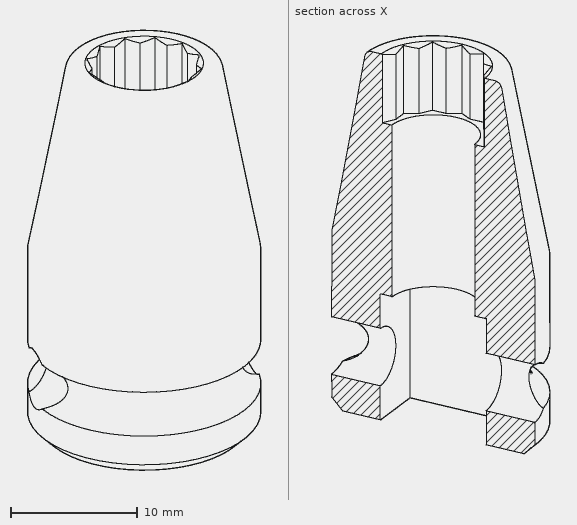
import cadquery as cq
import math

total_height = 32.0
body_radius = 18.5 / 2
base_chamfer = 1.0
cone_start_z = 15.5
nose_radius = 6.15
nose_fillet = 0.7

retainer_z = 5.5
groove_section_radius = 2.0
groove_floor_radius = 7.7
pin_hole_diameter = 5.0

hexagon_sides = 6
point_count = 2 * hexagon_sides
socket_across_flats = 8.0
socket_depth = 6.0
lead_in_radius = 4.7
lead_in_angle = 60.0

bore_diameter = 7.5
drive_across_flats = 9.6
drive_depth = 11.0


def make_body():
    """Straight barrel with a tapered nose, revolved about Z."""
    profile = (
        cq.Workplane("XZ")
        .lineTo(body_radius - base_chamfer, 0)
        .lineTo(body_radius, base_chamfer)
        .lineTo(body_radius, cone_start_z)
        .lineTo(nose_radius, total_height)
        .lineTo(0, total_height)
        .close()
    )
    body = profile.revolve(360, (0, 0, 0), (0, 1, 0))
    return body.faces(">Z").edges().fillet(nose_fillet)


def make_groove():
    """Ring of round section that cuts the retaining groove."""
    ring_radius = groove_floor_radius + groove_section_radius
    section = cq.Workplane("XZ").center(ring_radius, retainer_z).circle(groove_section_radius)
    return section.revolve(360, (-ring_radius, 0, 0), (-ring_radius, 1, 0))


def make_pin_hole():
    """Cross hole along Y through both walls."""
    return (
        cq.Workplane("XZ")
        .center(0, retainer_z)
        .circle(pin_hole_diameter / 2)
        .extrude(body_radius, both=True)
    )


def make_socket():
    """Twelve-point star, formed by two hexagons turned 30 degrees apart."""
    hexagon_diameter = socket_across_flats / math.cos(math.pi / hexagon_sides)
    hexagon = (
        cq.Workplane("XY")
        .workplane(offset=total_height - socket_depth)
        .polygon(hexagon_sides, hexagon_diameter)
        .extrude(socket_depth)
    )
    turned_hexagon = hexagon.rotate((0, 0, 0), (0, 0, 1), 360 / point_count)
    return hexagon.union(turned_hexagon)


def make_lead_in():
    """Cone that chamfers the mouth of the socket."""
    cone_height = lead_in_radius / math.tan(math.radians(lead_in_angle))
    profile = (
        cq.Workplane("XZ")
        .moveTo(0, total_height - cone_height)
        .lineTo(lead_in_radius, total_height)
        .lineTo(0, total_height)
        .close()
    )
    return profile.revolve(360, (0, 0, 0), (0, 1, 0))


def make_bore():
    """Round bore that joins the drive to the socket."""
    return cq.Workplane("XY").circle(bore_diameter / 2).extrude(total_height)


def make_drive():
    """Square drive recess in the base."""
    return cq.Workplane("XY").rect(drive_across_flats, drive_across_flats).extrude(drive_depth)


result = (
    make_body()
    .cut(make_groove())
    .cut(make_pin_hole())
    .cut(make_bore())
    .cut(make_drive())
    .cut(make_socket())
    .cut(make_lead_in())
)